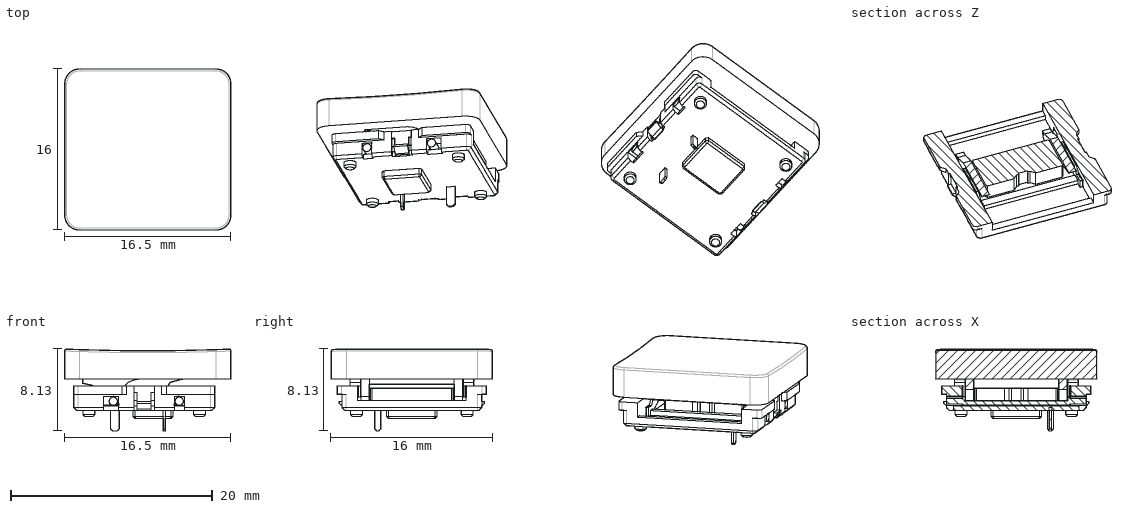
import cadquery as cq


CAP_X = 16.5
CAP_Y = 16.0
CAP_BOTTOM = 3.12
CAP_TOP = 6.11
CAP_CORNER_RADIUS = 1.5
CAP_EDGE_FILLET = 0.2
CAP_DISH_DEPTH = 0.18

BASE_X = 14.0
BASE_Y = 13.88
BASE_CENTER_X = -0.36
BASE_HEIGHT = 2.45
BASE_CORNER_RADIUS = 0.42
BASE_BOTTOM_CHAMFER = 0.3
WALL_FACE = BASE_Y / 2

FLANGE_REACH = 0.46
FLANGE_BOTTOM = 1.6
FLANGE_GAP = 4.4

CHANNEL_HALF_WIDTH = 5.38
RIM_HEIGHT = 1.0
RIM_WIDTH = 0.75
FLOOR_THICKNESS = 0.49

HUB_HALF_WIDTH = 4.1
HUB_LENGTH = 4.0
HUB_TOP = 2.23
HUB_CHAMFER = 0.14
HUB_NOTCH_HALF_WIDTH = 1.15
HUB_NOTCH_DEPTH = 0.42
HUB_GROOVE_HALF_WIDTH = 0.48
HUB_GROOVE_DEPTH = 0.15

RECESS_WIDTH = 2.02
RECESS_DEPTH = 0.65
JAMB_WIDTH = 0.32
SNAP_ARM_SETBACK = 0.13
JAMB_LEVELS = [
    (0.0, 0.47, 0.1),
    (0.47, 0.98, 0.2),
    (0.98, 1.77, 0.3),
    (1.77, BASE_HEIGHT, RECESS_DEPTH - SNAP_ARM_SETBACK),
]
CATCH_PROTRUSION = 0.26
CATCH_TOP = 0.9
CATCH_LIP = 0.18
CATCH_BOTTOM = 0.15

PEG_DIAMETER = 1.2
PEG_SPACING = 10.97
PEG_LENGTH = 0.61
PEG_CHAMFER = 0.2

BOSS_X = 4.0
BOSS_Y = 5.04
BOSS_CENTER_X = 0.52
BOSS_HEIGHT = 0.81
BOSS_CHAMFER = 0.22

PIN_CENTER_Y = -3.38
PIN_TIP = -2.03
PIN_SEAT_DEPTH = 0.3
PIN_THICKNESS = 0.24
PIN_TIP_CHAMFER = 0.22
WIDE_PIN_X = -3.26
WIDE_PIN_WIDTH = 0.88
NARROW_PIN_X = 1.63
NARROW_PIN_WIDTH = 0.62

PIVOT_DIAMETER = 0.82
PIVOT_RADIUS = PIVOT_DIAMETER / 2
PIVOT_Z = 0.92
OUTER_PIVOT_X = -3.42
INNER_PIVOT_X = 3.12
SLOT_TOP = 1.4
SLOT_SILL_DEPTH = 0.7
SLIDE_SLOT = (-4.38, -2.9)
PIVOT_SLOT = (2.64, 3.62)

INNER_ARM_IN = 4.2
INNER_ARM_OUT = 5.04
INNER_LEFT = -6.46
INNER_BAR_BOTTOM = 2.7
INNER_BAR_WIDTH = 0.45
INNER_TOP_END = -0.9
INNER_RIGHT = PIVOT_SLOT[1]

OUTER_LEFT = SLIDE_SLOT[0]
OUTER_ARM_IN = 5.08
OUTER_ARM_OUT = 5.32
OUTER_WING_OUT = 6.15
OUTER_BAR_TOP = 0.98
OUTER_LOWER_BEND = [(2.02, BASE_HEIGHT), (2.2, 2.78), (3.5, CAP_BOTTOM)]
OUTER_UPPER_BEND = [(-0.83, CAP_BOTTOM), (-1.38, 3.03), (-1.97, 2.79), (-2.27, BASE_HEIGHT)]


def block(x0, x1, y0, y1, z0, z1):
    """Box between two opposite corners."""
    return cq.Workplane("XY").box(x1 - x0, y1 - y0, z1 - z0, centered=False).translate((x0, y0, z0))


def centered_block(center_x, size_x, size_y, z0, z1):
    """Box centered on Y = 0."""
    half_x = size_x / 2
    half_y = size_y / 2
    return block(center_x - half_x, center_x + half_x, -half_y, half_y, z0, z1)


def both_sides(shape):
    """The shape together with its mirror image across Y = 0."""
    return shape.union(shape.mirror("XZ"))


def side_plate(points, y_inner, y_outer):
    """Plate with an XZ outline, lying between two Y distances on the -Y side."""
    plate = cq.Workplane("XZ").polyline(points).close().extrude(y_outer - y_inner)
    return plate.translate((0, -y_inner, 0))


def pivot_rod(x, y_inner, y_outer):
    """Round rod along Y at pivot height, on the -Y side."""
    rod = cq.Workplane("XZ").center(x, PIVOT_Z).circle(PIVOT_RADIUS).extrude(y_outer - y_inner)
    return rod.translate((0, -y_inner, 0))


def make_keycap():
    cap = centered_block(0, CAP_X, CAP_Y, CAP_BOTTOM, CAP_TOP)
    cap = cap.edges("|Z").fillet(CAP_CORNER_RADIUS)
    half_chord = CAP_X / 2
    dish_radius = (half_chord**2 + CAP_DISH_DEPTH**2) / (2 * CAP_DISH_DEPTH)
    dish = cq.Workplane("XZ").center(0, CAP_TOP - CAP_DISH_DEPTH + dish_radius)
    dish = dish.circle(dish_radius).extrude(CAP_Y, both=True)
    return cap.cut(dish).faces(">Z").edges().fillet(CAP_EDGE_FILLET)


def make_shell():
    shell = centered_block(BASE_CENTER_X, BASE_X, BASE_Y, 0, BASE_HEIGHT)
    shell = shell.edges("|Z").fillet(BASE_CORNER_RADIUS)
    shell = shell.faces("<Z").edges().chamfer(BASE_BOTTOM_CHAMFER)
    flange_y = BASE_Y + 2 * FLANGE_REACH
    flange = centered_block(BASE_CENTER_X, BASE_X, flange_y, FLANGE_BOTTOM, BASE_HEIGHT)
    flange = flange.edges("|Z").fillet(BASE_CORNER_RADIUS)
    shell = shell.union(flange.cut(both_sides(make_flange_gap())))
    channel = centered_block(BASE_CENTER_X, BASE_X, 2 * CHANNEL_HALF_WIDTH, RIM_HEIGHT, BASE_HEIGHT)
    pocket_x = BASE_X - 2 * RIM_WIDTH
    pocket = centered_block(BASE_CENTER_X, pocket_x, 2 * CHANNEL_HALF_WIDTH, FLOOR_THICKNESS, RIM_HEIGHT)
    return shell.cut(channel).cut(pocket)


def make_flange_gap():
    """Gap in the middle of a flange, with ends sloping at 45 degrees."""
    outer = FLANGE_GAP / 2
    inner = outer - FLANGE_REACH
    outer_face = -WALL_FACE - FLANGE_REACH
    outline = [(-outer, outer_face), (outer, outer_face), (inner, -WALL_FACE), (-inner, -WALL_FACE)]
    gap = cq.Workplane("XY").polyline(outline).close().extrude(BASE_HEIGHT)
    return gap.translate((BASE_CENTER_X, 0, 0))


def make_hub():
    """Block in the middle of the channel with a flared notch in its -X face."""
    hub = centered_block(BASE_CENTER_X, HUB_LENGTH, 2 * HUB_HALF_WIDTH, FLOOR_THICKNESS, HUB_TOP)
    hub = hub.edges("|Z").chamfer(HUB_CHAMFER)
    face = BASE_CENTER_X - HUB_LENGTH / 2
    notch_floor = face + HUB_NOTCH_DEPTH
    mouth = HUB_NOTCH_HALF_WIDTH
    root = mouth - HUB_NOTCH_DEPTH
    outline = [(face, -mouth), (notch_floor, -root), (notch_floor, root), (face, mouth)]
    notch = cq.Workplane("XY").polyline(outline).close().extrude(HUB_TOP)
    groove_end = notch_floor + HUB_GROOVE_DEPTH
    groove = block(face, groove_end, -HUB_GROOVE_HALF_WIDTH, HUB_GROOVE_HALF_WIDTH, 0, HUB_TOP)
    return hub.cut(notch).cut(groove)


def make_recess():
    """Cutter for the recess in the middle of the -Y wall."""
    half = RECESS_WIDTH / 2
    return block(
        BASE_CENTER_X - half,
        BASE_CENTER_X + half,
        -WALL_FACE - FLANGE_REACH,
        -WALL_FACE + RECESS_DEPTH,
        0,
        BASE_HEIGHT,
    )


def make_recess_fittings():
    """Stepped jambs at both sides of the recess and, between them, a snap arm ending in a catch."""
    back = -WALL_FACE + RECESS_DEPTH
    half = RECESS_WIDTH / 2
    arm_half = half - JAMB_WIDTH
    front = -WALL_FACE - CATCH_PROTRUSION
    arm_front = -WALL_FACE + SNAP_ARM_SETBACK
    lip_bottom = CATCH_TOP - CATCH_LIP
    slope_end = front + lip_bottom - CATCH_BOTTOM
    outline = [
        (back, BASE_HEIGHT),
        (arm_front, BASE_HEIGHT),
        (arm_front, CATCH_TOP),
        (front, CATCH_TOP),
        (front, lip_bottom),
        (slope_end, CATCH_BOTTOM),
        (back, CATCH_BOTTOM),
    ]
    snap_arm = cq.Workplane("YZ").polyline(outline).close().extrude(arm_half, both=True)
    fittings = snap_arm.translate((BASE_CENTER_X, 0, 0))
    left = BASE_CENTER_X - half
    right = BASE_CENTER_X + half
    for bottom, top, reach in JAMB_LEVELS:
        fittings = fittings.union(block(left, left + JAMB_WIDTH, back - reach, back, bottom, top))
        fittings = fittings.union(block(right - JAMB_WIDTH, right, back - reach, back, bottom, top))
    return fittings


def make_pivot_slot(x_range):
    """Cutter for a pivot opening through the -Y wall, with a shallow sill cut below it."""
    x0, x1 = x_range
    outside = -WALL_FACE - FLANGE_REACH
    opening = block(x0, x1, outside, -CHANNEL_HALF_WIDTH, FLOOR_THICKNESS, SLOT_TOP)
    return opening.union(block(x0, x1, outside, -WALL_FACE + SLOT_SILL_DEPTH, 0, FLOOR_THICKNESS))


def make_underside():
    """Central boss and four locating pegs below the housing."""
    boss = centered_block(BOSS_CENTER_X, BOSS_X, BOSS_Y, -BOSS_HEIGHT, 0)
    boss = boss.edges("|Z").chamfer(BOSS_CHAMFER)
    boss = boss.faces("<Z").edges().chamfer(BOSS_CHAMFER)
    pegs = cq.Workplane("XY").center(BASE_CENTER_X, 0).rect(PEG_SPACING, PEG_SPACING, forConstruction=True)
    pegs = pegs.vertices().circle(PEG_DIAMETER / 2).extrude(-PEG_LENGTH)
    return boss.union(pegs.faces("<Z").edges().chamfer(PEG_CHAMFER))


def make_housing():
    housing = make_shell().union(make_hub()).union(make_underside())
    recess = both_sides(make_recess())
    housing = housing.cut(recess).union(both_sides(make_recess_fittings()))
    for x_range in (SLIDE_SLOT, PIVOT_SLOT):
        housing = housing.cut(both_sides(make_pivot_slot(x_range)))
    return housing


def make_wide_pin():
    pin = centered_block(WIDE_PIN_X, WIDE_PIN_WIDTH, PIN_THICKNESS, PIN_TIP, PIN_SEAT_DEPTH)
    pin = pin.faces("<Z").edges("|Y").chamfer(PIN_TIP_CHAMFER)
    return pin.translate((0, PIN_CENTER_Y, 0))


def make_narrow_pin():
    pin = centered_block(NARROW_PIN_X, PIN_THICKNESS, NARROW_PIN_WIDTH, PIN_TIP, PIN_SEAT_DEPTH)
    pin = pin.faces("<Z").edges("|X").chamfer(PIN_TIP_CHAMFER)
    return pin.translate((0, PIN_CENTER_Y, 0))


def make_inner_frame():
    """Frame falling from the -X end of the cap to the fixed pivots on the +X side."""
    outline = [
        (INNER_LEFT, CAP_BOTTOM),
        (INNER_LEFT, INNER_BAR_BOTTOM),
        (INNER_PIVOT_X, PIVOT_Z - PIVOT_RADIUS),
        (INNER_RIGHT, PIVOT_Z),
        (INNER_RIGHT, SLOT_TOP),
        (INNER_PIVOT_X, SLOT_TOP),
        (INNER_TOP_END, CAP_BOTTOM),
    ]
    side = side_plate(outline, INNER_ARM_IN, INNER_ARM_OUT)
    side = side.union(pivot_rod(INNER_PIVOT_X, INNER_ARM_IN, WALL_FACE))
    bar_right = INNER_LEFT + INNER_BAR_WIDTH
    bar_space = block(INNER_LEFT, bar_right, -INNER_ARM_OUT, INNER_ARM_OUT, 0, CAP_BOTTOM)
    bar = side_plate(outline, -INNER_ARM_OUT, INNER_ARM_OUT).intersect(bar_space)
    return both_sides(side).union(bar)


def make_outer_frame():
    """Frame rising from the sliding pivots on the -X side, with wings above the walls."""
    outline = [
        (OUTER_PIVOT_X, PIVOT_Z - PIVOT_RADIUS),
        *OUTER_LOWER_BEND,
        *OUTER_UPPER_BEND,
        (OUTER_PIVOT_X, SLOT_TOP),
        (OUTER_LEFT, SLOT_TOP),
        (OUTER_LEFT, PIVOT_Z - PIVOT_RADIUS),
    ]
    above_wall = block(INNER_LEFT, -INNER_LEFT, -OUTER_WING_OUT, 0, BASE_HEIGHT, CAP_BOTTOM)
    wing = side_plate(outline, OUTER_ARM_IN, OUTER_WING_OUT).intersect(above_wall)
    side = side_plate(outline, OUTER_ARM_IN, OUTER_ARM_OUT).union(wing)
    side = side.union(pivot_rod(OUTER_PIVOT_X, OUTER_ARM_IN, WALL_FACE))
    bar_bottom = PIVOT_Z - PIVOT_RADIUS
    bar = centered_block(OUTER_PIVOT_X, PIVOT_DIAMETER, 2 * OUTER_ARM_OUT, bar_bottom, OUTER_BAR_TOP)
    return both_sides(side).union(bar)


keycap = make_keycap()
wide_pin = make_wide_pin()
narrow_pin = make_narrow_pin()
housing = make_housing().cut(wide_pin).cut(narrow_pin)
inner_frame = make_inner_frame()
outer_frame = make_outer_frame()

bodies = [keycap, housing, wide_pin, narrow_pin, inner_frame, outer_frame]
result = cq.Compound.makeCompound([body.solids().val() for body in bodies])